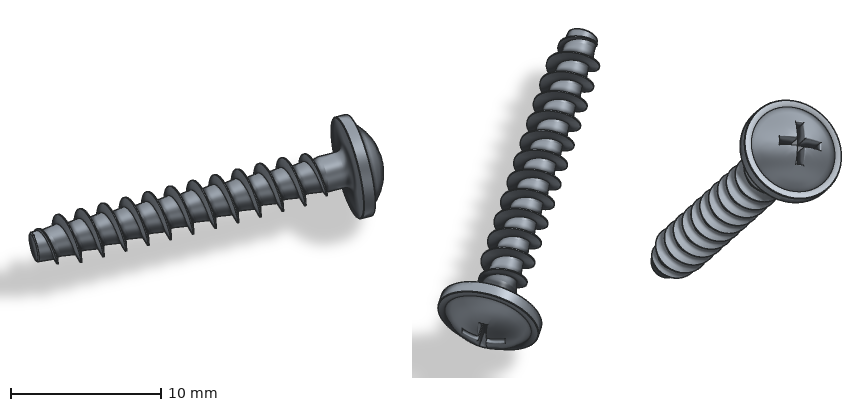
import cadquery as cq
import math


flange_dia = 7.0
flange_thickness = 0.85
flange_edge_chamfer = 0.05
dome_base_dia = 6.0
dome_height = 1.51

recess_span = 2.95
recess_slot_width = 0.52
recess_depth = 1.4
recess_rim_fillet = 0.07

shank_length = 22.0
shank_dia = 2.45
neck_fillet = 0.5
plain_shank_length = 1.71
shank_cone_length = 0.8
core_dia = 2.04
tip_chamfer = 0.08

thread_dia = 3.5
thread_pitch = 1.572
crest_width = 0.09
root_width = 0.5
ridge_dia = 2.3
ridge_end_fraction = 0.82
ridge_sink = 0.015
buried_radius = 0.75
phase_y = -3.55
start_turn = -1.25
full_start_turn = -0.25
full_end_turn = 10.43
end_turn = 11.6
start_crest_radius = 1.4
points_per_turn = 24
direction_step = 1e-4

head_top = flange_thickness + dome_height
core_radius = core_dia / 2
crest_radius = thread_dia / 2
flank_slope = (root_width - crest_width) / 2 / (crest_radius - core_radius)


def make_body():
    """Head, neck fillet, shank and smooth core as one revolved profile."""
    shank_radius = shank_dia / 2
    dome_radius = dome_base_dia / 2
    sphere_radius = (dome_radius**2 + dome_height**2) / (2 * dome_height)
    half_angle = math.asin(dome_radius / sphere_radius) / 2
    dome_mid = (
        sphere_radius * math.sin(half_angle),
        head_top - sphere_radius * (1 - math.cos(half_angle)),
    )
    neck_mid_offset = neck_fillet * (1 - math.sqrt(0.5))
    profile = (
        cq.Workplane("XY")
        .moveTo(0, head_top)
        .threePointArc(dome_mid, (dome_radius, flange_thickness))
        .lineTo(flange_dia / 2 - flange_edge_chamfer, flange_thickness)
        .lineTo(flange_dia / 2, flange_thickness - flange_edge_chamfer)
        .lineTo(flange_dia / 2, flange_edge_chamfer)
        .lineTo(flange_dia / 2 - flange_edge_chamfer, 0)
        .lineTo(shank_radius + neck_fillet, 0)
        .threePointArc(
            (shank_radius + neck_mid_offset, -neck_mid_offset),
            (shank_radius, -neck_fillet),
        )
        .lineTo(shank_radius, -plain_shank_length)
        .lineTo(core_radius, -plain_shank_length - shank_cone_length)
        .lineTo(core_radius, -shank_length + tip_chamfer)
        .lineTo(core_radius - tip_chamfer, -shank_length)
        .lineTo(0, -shank_length)
        .close()
    )
    return profile.revolve(360, (0, 0, 0), (0, 1, 0))


def make_recess():
    """Cross-shaped recess sunk into the top of the dome."""
    centre_y = head_top - recess_depth / 2
    long_wing = cq.Workplane("XY").box(recess_span, recess_depth, recess_slot_width)
    cross_wing = cq.Workplane("XY").box(recess_slot_width, recess_depth, recess_span)
    return long_wing.union(cross_wing).translate((0, centre_y, 0))


def thread_section(turn):
    """Corners (radius, offset along Y) of the thread section at a given turn."""
    ramp_in = min(1, (turn - start_turn) / (full_start_turn - start_turn))
    fade = min(1, (end_turn - turn) / (end_turn - full_end_turn))
    radius = start_crest_radius + (crest_radius - start_crest_radius) * ramp_in
    radius = core_radius + (radius - core_radius) * fade
    half_crest = crest_width / 2
    half_root = half_crest + (radius - core_radius) * flank_slope
    ridge_radius = core_radius + (ridge_dia / 2 - core_radius) * fade
    return [
        (buried_radius, half_root),
        (radius, half_crest),
        (radius, -half_crest),
        (ridge_radius, -half_root),
        (core_radius - ridge_sink, -thread_pitch * ridge_end_fraction),
        (buried_radius, -thread_pitch * ridge_end_fraction),
    ]


def thread_corners(turn):
    """Corners of the thread section placed in space on the helix."""
    angle = 2 * math.pi * turn
    crest_y = phase_y - thread_pitch * turn
    return [
        cq.Vector(radius * math.cos(angle), crest_y + offset, radius * math.sin(angle))
        for radius, offset in thread_section(turn)
    ]


def corner_directions(turn, toward):
    """Rates of change of the corners with turn, taken just inside the stretch."""
    step = direction_step * (toward - turn)
    here = thread_corners(turn)
    there = thread_corners(turn + step)
    return [(end - start) * (1 / step) for start, end in zip(here, there)]


def thread_faces(first_turn, last_turn):
    """Ruled faces between the helical edges of one stretch of thread."""
    count = math.ceil((last_turn - first_turn) * points_per_turn)
    turn_step = (last_turn - first_turn) / count
    turns = [first_turn + turn_step * i for i in range(count + 1)]
    corner_paths = zip(*[thread_corners(turn) for turn in turns])
    first_directions = corner_directions(first_turn, last_turn)
    last_directions = corner_directions(last_turn, first_turn)
    edges = [
        cq.Edge.makeSpline(list(path), tangents=directions, parameters=turns, scale=False)
        for path, *directions in zip(corner_paths, first_directions, last_directions)
    ]
    next_edges = edges[1:] + edges[:1]
    return [cq.Face.makeRuledSurface(edge, after) for edge, after in zip(edges, next_edges)]


def thread_cap(turn):
    outline = cq.Wire.makePolygon(thread_corners(turn), close=True)
    return cq.Face.makeFromWires(outline)


def make_thread():
    """Right-handed thread: a run-in, full turns and a run-out in one closed solid."""
    full_turns = int(full_end_turn - full_start_turn)
    turn_starts = [full_start_turn + i for i in range(full_turns + 1)]
    breaks = [start_turn, *turn_starts, full_end_turn, end_turn]
    faces = [thread_cap(start_turn), thread_cap(end_turn)]
    for first_turn, last_turn in zip(breaks, breaks[1:]):
        faces += thread_faces(first_turn, last_turn)
    thread = cq.Solid.makeSolid(cq.Shell.makeShell(faces))
    return cq.Workplane("XY").newObject([thread.fix()])


def make_thread_limits():
    """Cylinder that keeps the thread between the plain shank and the tip chamfer."""
    length = shank_length - plain_shank_length - tip_chamfer
    return (
        cq.Workplane("XZ", origin=(0, -plain_shank_length, 0))
        .circle(thread_dia)
        .extrude(length)
    )


def make_head_and_shank():
    """Revolved body with the cross recess cut and its rim rounded."""
    body = make_body().cut(make_recess())
    half_span = recess_span / 2
    around_recess = cq.selectors.BoxSelector(
        (-half_span, flange_thickness + dome_height / 2, -half_span),
        (half_span, head_top, half_span),
    )
    rim = body.faces(cq.selectors.TypeSelector("SPHERE")).edges(around_recess)
    return rim.fillet(recess_rim_fillet)


thread = make_thread().intersect(make_thread_limits())
result = make_head_and_shank().union(thread).solids()